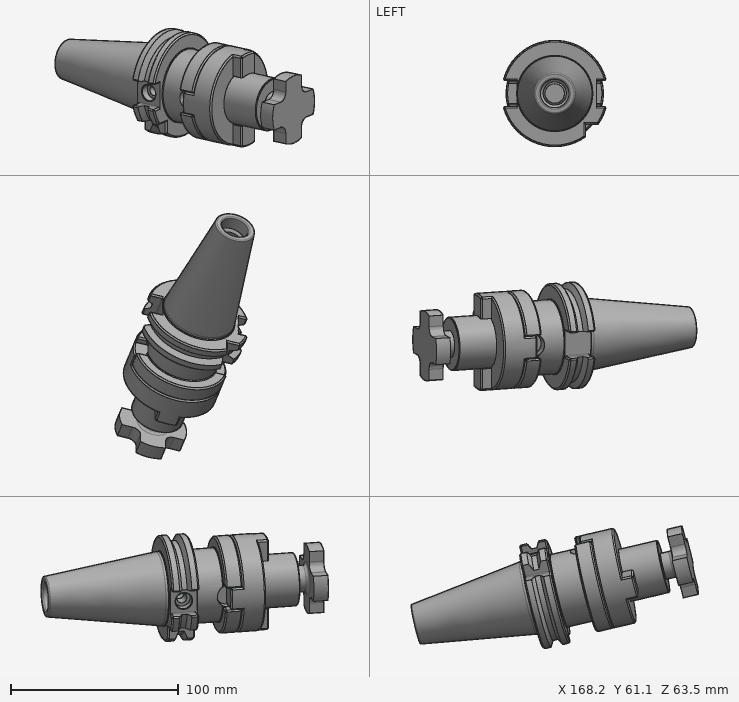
import cadquery as cq
import math


EDGE_CHAMFER = 0.93
TOLERANCE = 0.02

TOTAL_LENGTH = 168.2
TAPER_END = 69.0
FLANGE_START = 71.0
FLANGE_END = 87.5
COLLAR_START = 104.1
COLLAR_END = 114.4
RING_END = 128.4
PILOT_END = 152.1
HEAD_START = 159.3

NECK_RADIUS = 44.5 / 2
TAPER_PER_RADIUS = 7 / 48
TAPER_TIP_RADIUS = NECK_RADIUS - TAPER_END * TAPER_PER_RADIUS
TAPER_TIP_FILLET = 0.8
ROOT_FILLET = 0.5
PILOT_RADIUS = 32.0 / 2
PILOT_CHAMFER = 0.5

FLANGE_RADIUS = 63.5 / 2
GROOVE_RADIUS = 28.1
GROOVE_TOP_HALF = 3.7
GROOVE_HALF_ANGLE = 30.0
KEY_SLOT_HALF = 7.7
POCKET_CORNER_FILLET = 0.5
KEY_SLOT_FLOOR_BACK = 22.4
KEY_SLOT_FLOOR_FRONT = 24.9
NOTCH_OFFSET = 18.3

FLOOR_HOLE_RADIUS = 6.0 / 2
FLOOR_HOLE_DEPTH = 13.5
FLOOR_COUNTERBORE_RADIUS = 10.0 / 2
FLOOR_COUNTERBORE_DEPTH = 5.4
FLOOR_COUNTERBORE_CHAMFER = 0.3
DRILL_TIP_HALF_ANGLE = 59.0

BORE_MOUTH_RADIUS = 17.0 / 2
BORE_MOUTH_DEPTH = 8.5
BORE_RADIUS = 13.8 / 2

RING_RADIUS = 58.0 / 2
TENON_HALF = 6.9
TENON_START = 107.2
TENON_FLOOR = PILOT_RADIUS
LUG_END = 135.0
LUG_FLOOR = 15.1

SHANK_RADIUS = 16.0 / 2
SHANK_TIP = 127.9
SHANK_TIP_CHAMFER = 2.2
SHANK_FILLET = 2.0
HEAD_RADIUS = 21.0
HEAD_ARM_HALF = 7.9
HEAD_ARM_FILLET = 5.0


def revolve_about_axis(points):
    """Solid of revolution about X from (x, radius) points."""
    return cq.Workplane("XY").polyline(points).close().revolve(360, (0, 0, 0), (1, 0, 0))


def cylinder(start, end, radius):
    return cq.Workplane("YZ", origin=(start, 0, 0)).circle(radius).extrude(end - start)


def block(x_range, y_range, z_range):
    """Box between the given limits on each axis."""
    ranges = (x_range, y_range, z_range)
    sizes = [high - low for low, high in ranges]
    corner = [low for low, high in ranges]
    return cq.Workplane("XY").box(*sizes, centered=False).translate(tuple(corner))


def distance_from_axis(edge):
    middle = edge.positionAt(0.5)
    return math.hypot(middle.y, middle.z)


def is_axial(edge):
    return abs(edge.tangentAt(0.5).x) > 0.99


def chamfer_edges(body, wanted):
    """Break every edge for which wanted(edge) is true."""
    edges = [edge for edge in body.edges().vals() if wanted(edge)]
    return body.newObject(edges).chamfer(EDGE_CHAMFER)


def make_shaft():
    """Taper, neck and pilot."""
    return revolve_about_axis([
        (0, 0),
        (0, TAPER_TIP_RADIUS),
        (TAPER_END, NECK_RADIUS),
        (COLLAR_END, NECK_RADIUS),
        (COLLAR_END, PILOT_RADIUS),
        (PILOT_END - PILOT_CHAMFER, PILOT_RADIUS),
        (PILOT_END, PILOT_RADIUS - PILOT_CHAMFER),
        (PILOT_END, 0),
    ])


def make_flange():
    """Gripper flange with two key slots, an orientation notch and a V groove."""
    width = (FLANGE_START, FLANGE_END)
    flange = cylinder(*width, FLANGE_RADIUS)
    slot_height = (-KEY_SLOT_HALF, KEY_SLOT_HALF)
    flange = flange.cut(block(width, (KEY_SLOT_FLOOR_BACK, FLANGE_RADIUS), slot_height))
    flange = flange.cut(block(width, (-FLANGE_RADIUS, -KEY_SLOT_FLOOR_FRONT), slot_height))
    notch_range = (-FLANGE_RADIUS, -NOTCH_OFFSET)
    flange = flange.cut(block(width, notch_range, notch_range))

    outside = FLANGE_RADIUS - EDGE_CHAMFER

    def is_broken(edge):
        """Slot mouths and end-face outlines, but not the slot floors or the mouth of the notch."""
        middle = edge.positionAt(0.5)
        if is_axial(edge):
            return abs(middle.z) < NOTCH_OFFSET - EDGE_CHAMFER and distance_from_axis(edge) > outside
        is_slot_floor = abs(middle.z) < KEY_SLOT_HALF - EDGE_CHAMFER
        return not is_slot_floor

    flange = chamfer_edges(flange, is_broken)
    inner_limit = outside - EDGE_CHAMFER
    inner_corners = [edge for edge in flange.edges("|X").vals() if distance_from_axis(edge) < inner_limit]
    flange = flange.newObject(inner_corners).fillet(POCKET_CORNER_FILLET)

    middle = (FLANGE_START + FLANGE_END) / 2
    flank_run = (FLANGE_RADIUS - GROOVE_RADIUS) * math.tan(math.radians(GROOVE_HALF_ANGLE))
    groove_bottom_half = GROOVE_TOP_HALF - flank_run
    groove = revolve_about_axis([
        (middle - GROOVE_TOP_HALF, FLANGE_RADIUS),
        (middle - groove_bottom_half, GROOVE_RADIUS),
        (middle + groove_bottom_half, GROOVE_RADIUS),
        (middle + GROOVE_TOP_HALF, FLANGE_RADIUS),
    ])
    return flange.cut(groove)


def make_collar():
    """Shoulder whose two side slots take the tenons of the drive ring."""
    width = (COLLAR_START, COLLAR_END)
    collar = cylinder(*width, RING_RADIUS)
    slot_height = (-TENON_HALF, TENON_HALF)
    collar = collar.cut(block(width, (TENON_FLOOR, RING_RADIUS), slot_height))
    collar = collar.cut(block(width, (-RING_RADIUS, -TENON_FLOOR), slot_height))
    slot_corner = math.hypot(TENON_FLOOR, TENON_HALF)
    inner_limit = slot_corner + EDGE_CHAMFER
    return chamfer_edges(collar, lambda edge: distance_from_axis(edge) > inner_limit)


def make_tenon_slot(side):
    """Round-ended slot for one tenon, cut through neck and collar; side is +1 or -1 along Y."""
    length = COLLAR_END - TENON_START
    depth = RING_RADIUS - TENON_FLOOR
    plane = cq.Workplane("XZ", origin=(TENON_START, side * TENON_FLOOR, 0))
    round_end = plane.circle(TENON_HALF).extrude(-side * depth)
    straight = plane.center(length / 2, 0).rect(length, 2 * TENON_HALF).extrude(-side * depth)
    return round_end.union(straight)


def make_bore():
    """Stepped bore from the taper end up to the clamp screw, and the hole for its shank."""
    step = BORE_MOUTH_RADIUS - BORE_RADIUS
    return revolve_about_axis([
        (0, 0),
        (0, BORE_MOUTH_RADIUS),
        (BORE_MOUTH_DEPTH, BORE_MOUTH_RADIUS),
        (BORE_MOUTH_DEPTH + step, BORE_RADIUS),
        (SHANK_TIP, BORE_RADIUS),
        (SHANK_TIP, SHANK_RADIUS),
        (PILOT_END, SHANK_RADIUS),
        (PILOT_END, 0),
    ])


def make_floor_hole():
    """Counterbored blind hole in the floor of the -Y key slot."""
    tip_length = FLOOR_HOLE_RADIUS / math.tan(math.radians(DRILL_TIP_HALF_ANGLE))
    middle = (FLANGE_START + FLANGE_END) / 2
    profile = [
        (0, 0),
        (FLOOR_COUNTERBORE_RADIUS + FLOOR_COUNTERBORE_CHAMFER, 0),
        (FLOOR_COUNTERBORE_RADIUS, FLOOR_COUNTERBORE_CHAMFER),
        (FLOOR_COUNTERBORE_RADIUS, FLOOR_COUNTERBORE_DEPTH),
        (FLOOR_HOLE_RADIUS, FLOOR_COUNTERBORE_DEPTH),
        (FLOOR_HOLE_RADIUS, FLOOR_HOLE_DEPTH),
        (0, FLOOR_HOLE_DEPTH + tip_length),
    ]
    hole = cq.Workplane("XY").polyline(profile).close().revolve(360, (0, 0, 0), (0, 1, 0))
    return hole.translate((middle, -KEY_SLOT_FLOOR_FRONT, 0))


def root_fillet(shoulder, direction):
    """Rounded root where the neck meets a shoulder; the neck lies toward direction (+1 or -1) along X."""
    diagonal = ROOT_FILLET * (1 - math.sqrt(0.5))
    return (
        cq.Workplane("XY")
        .moveTo(shoulder, NECK_RADIUS - ROOT_FILLET)
        .lineTo(shoulder, NECK_RADIUS + ROOT_FILLET)
        .threePointArc(
            (shoulder + direction * diagonal, NECK_RADIUS + diagonal),
            (shoulder + direction * ROOT_FILLET, NECK_RADIUS),
        )
        .lineTo(shoulder + direction * ROOT_FILLET, NECK_RADIUS - ROOT_FILLET)
        .close()
        .revolve(360, (0, 0, 0), (1, 0, 0))
    )


def make_holder():
    holder = make_shaft().union(make_flange()).union(make_collar())
    for shoulder, direction in ((FLANGE_START, -1), (FLANGE_END, 1), (COLLAR_START, -1)):
        holder = holder.union(root_fillet(shoulder, direction))
    for side in (1, -1):
        holder = holder.cut(make_tenon_slot(side))
    holder = holder.cut(make_bore()).cut(make_floor_hole())
    return holder.faces("<X").edges().fillet(TAPER_TIP_FILLET)


def make_tongue(root, tip, underside, angle):
    """Tongue flush with the ring's outside, from root to tip along X, turned about X away from +Z."""
    length = (min(root, tip), max(root, tip))
    tongue = cylinder(*length, RING_RADIUS)
    tongue = tongue.intersect(block(length, (-TENON_HALF, TENON_HALF), (underside, RING_RADIUS)))

    def is_exposed(edge):
        at_tip = abs(edge.positionAt(0.5).x - tip) < TOLERANCE
        on_outside = is_axial(edge) and distance_from_axis(edge) > RING_RADIUS - EDGE_CHAMFER
        on_underside = edge.positionAt(0.5).z < underside + TOLERANCE
        return on_outside or (at_tip and not on_underside)

    return chamfer_edges(tongue, is_exposed).rotate((0, 0, 0), (1, 0, 0), angle)


def make_drive_ring():
    """Ring on the pilot: tenons at +Y and -Y to the left, driving lugs at +Z and -Z to the right."""
    ring = cylinder(COLLAR_END, RING_END, RING_RADIUS).edges().chamfer(EDGE_CHAMFER)
    tongue_root = (COLLAR_END + RING_END) / 2
    for angle in (90, -90):
        ring = ring.union(make_tongue(tongue_root, TENON_START, TENON_FLOOR, angle))
    for angle in (0, 180):
        ring = ring.union(make_tongue(tongue_root, LUG_END, LUG_FLOOR, angle))
    return ring.cut(cylinder(COLLAR_END, LUG_END, PILOT_RADIUS))


def make_clamp_screw():
    """Screw with a cross-shaped head."""
    shank = revolve_about_axis([
        (SHANK_TIP, 0),
        (SHANK_TIP, SHANK_RADIUS - SHANK_TIP_CHAMFER),
        (SHANK_TIP + SHANK_TIP_CHAMFER, SHANK_RADIUS),
        (HEAD_START, SHANK_RADIUS),
        (HEAD_START, 0),
    ])
    arm_size = 2 * HEAD_RADIUS
    thickness = TOTAL_LENGTH - HEAD_START
    plane = cq.Workplane("YZ", origin=(HEAD_START, 0, 0))
    cross = plane.rect(arm_size, 2 * HEAD_ARM_HALF).extrude(thickness)
    cross = cross.union(plane.rect(2 * HEAD_ARM_HALF, arm_size).extrude(thickness))
    inner_corner = math.hypot(HEAD_ARM_HALF, HEAD_ARM_HALF)
    corner_limit = inner_corner + TOLERANCE
    corners = [edge for edge in cross.edges("|X").vals() if distance_from_axis(edge) < corner_limit]
    cross = cross.newObject(corners).fillet(HEAD_ARM_FILLET)
    head = cross.intersect(cylinder(HEAD_START, TOTAL_LENGTH, HEAD_RADIUS))
    screw = head.union(shank)
    head_root = [
        edge
        for edge in screw.edges().vals()
        if abs(edge.positionAt(0.5).x - HEAD_START) < TOLERANCE
        and abs(distance_from_axis(edge) - SHANK_RADIUS) < TOLERANCE
    ]
    return screw.newObject(head_root).fillet(SHANK_FILLET)


holder = make_holder()
drive_ring = make_drive_ring()
clamp_screw = make_clamp_screw()

result = cq.Compound.makeCompound([body.solids().val() for body in (holder, drive_ring, clamp_screw)])